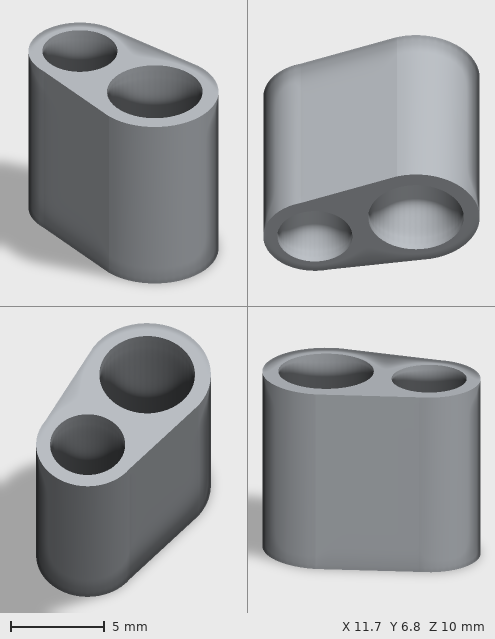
import cadquery as cq
import math

length = 11.74
height = 10.0
large_radius = 6.8 / 2
small_radius = 5.5 / 2
large_bore_diameter = 5.1
small_bore_diameter = 4.0
large_join_offset = 0.09

small_x = -length / 2 + small_radius
large_x = length / 2 - large_radius

join_x = large_x - large_join_offset
join_y = math.sqrt(large_radius**2 - large_join_offset**2)
body = (
    cq.Workplane("XY")
    .moveTo(small_x, small_radius)
    .lineTo(join_x, join_y)
    .threePointArc((length / 2, 0), (join_x, -join_y))
    .lineTo(small_x, -small_radius)
    .threePointArc((-length / 2, 0), (small_x, small_radius))
    .close()
    .extrude(height)
)


def bore(x, diameter):
    """Cylinder through the full height, concentric with a round end."""
    return cq.Workplane("XY").center(x, 0).circle(diameter / 2).extrude(height)


result = body.cut(bore(small_x, small_bore_diameter)).cut(bore(large_x, large_bore_diameter))